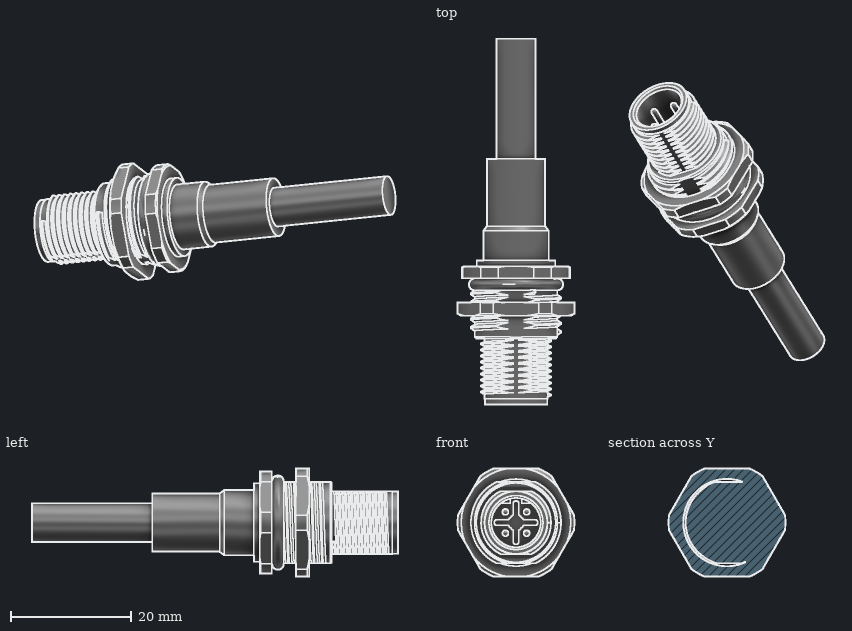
import cadquery as cq
import math


lead_in_end = 1.0
front_thread_start = 1.6
front_barrel_end = 11.0
panel_thread_start = 12.1
panel_thread_end = 18.9
nut_front = 14.75
nut_thickness = 2.25
hex_front = 21.0
hex_thickness = 2.0
collar_end = 24.0
boot_step = 28.9
boot_taper_end = 29.7
boot_end = 40.9
cable_end = 60.9

cable_radius = 3.25
boot_radius = 4.85
boot_step_radius = 5.45
collar_radius = 6.55

front_root_radius = 5.25
front_crest_radius = 5.83
front_pitch = 1.0
front_flat_height = 5.23
lead_in_radius = 5.2

panel_root_radius = 6.9
panel_crest_radius = 7.5
panel_pitch = 1.41
panel_flat_height = 6.77
panel_chamfer = 0.3

ridge_base_share = 0.95
ridge_crest_share = 0.15
ridge_sink = 0.2

nut_across_flats = 18.0
nut_corner_radius = 9.75
nut_bore_radius = 7.25
nut_chamfer_radius = 9.1
hex_across_flats = 17.0
hex_corner_radius = 9.0
hex_chamfer_radius = 8.7
chamfer_slope = math.tan(math.radians(30))

ring_section_radius = 1.0
ring_outer_radius = 7.85

socket_radius = 4.1
socket_mouth_radius = 4.5
socket_mouth_depth = 0.4
socket_depth = 9.0

pin_radius = 0.5
pin_circle_radius = 2.5
pin_count = 4
pin_tip_position = 2.0
pin_tip_rounding = 0.45
pin_root_length = 1.0

recess_bottom = 3.2
recess_depth = 1.0
key_width = 1.9
cross_width = 0.95
cross_reach = 3.6
cross_corner = 1.3
cross_depth = 0.5
cross_end_rounding = 0.42


def cylinder(radius, start, end):
    """Solid cylinder on the Y axis between two stations."""
    return cq.Workplane("XZ", origin=(0, start, 0)).circle(radius).extrude(start - end)


def revolved(points):
    """Solid of revolution about Y from (radius, station) points."""
    return cq.Workplane("XY").polyline(points).close().revolve(360, (0, 0, 0), (0, 1, 0))


def thread_ridge(root_radius, crest_radius, pitch, start, end):
    """Right-handed helical ridge on the Y axis, starting on the +X side."""
    foot = root_radius - ridge_sink
    half_base = ridge_base_share * pitch / 2
    half_crest = ridge_crest_share * pitch / 2
    path = cq.Wire.makeHelix(pitch, end - start, root_radius)
    profile = (
        cq.Workplane("XZ")
        .polyline([
            (foot, -half_base),
            (crest_radius, -half_crest),
            (crest_radius, half_crest),
            (foot, half_base),
        ])
        .close()
    )
    ridge = profile.sweep(cq.Workplane(obj=path), isFrenet=True)
    return ridge.rotate((0, 0, 0), (1, 0, 0), -90).translate((0, start, 0))


def flatten(body, half_height, start, end):
    """Cut two parallel flats, above and below the axis."""
    length = end - start
    slab = cq.Workplane("XY").box(4 * half_height, length, 2 * half_height)
    return body.intersect(slab.translate((0, start + length / 2, 0)))


def hexagon(across_flats, corner_radius, front, thickness):
    """Hexagon with flats on top and bottom and its corners turned round."""
    across_corners = across_flats / math.cos(math.pi / 6)
    prism = (
        cq.Workplane("XZ", origin=(0, front, 0))
        .polygon(6, across_corners)
        .extrude(-thickness)
    )
    return prism.intersect(cylinder(corner_radius, front, front + thickness))


def chamfered_disc(face_radius, corner_radius, face, far):
    """Disc whose edge falls away from face_radius at the chamfered face."""
    drop = (corner_radius - face_radius) * chamfer_slope
    shoulder = face + math.copysign(drop, far - face)
    return revolved([
        (0, face),
        (face_radius, face),
        (corner_radius, shoulder),
        (corner_radius, far),
        (0, far),
    ])


def make_front_barrel():
    core = cylinder(front_root_radius, lead_in_end, panel_thread_start)
    ridge = thread_ridge(
        front_root_radius, front_crest_radius, front_pitch, front_thread_start, front_barrel_end
    )
    barrel = flatten(core.union(ridge), front_flat_height, lead_in_end, panel_thread_start)
    return barrel.union(cylinder(lead_in_radius, 0, lead_in_end))


def make_panel_barrel():
    core = cylinder(panel_root_radius, front_barrel_end, hex_front)
    core = core.faces("<Y").chamfer(panel_chamfer)
    ridge = thread_ridge(
        panel_root_radius, panel_crest_radius, panel_pitch, panel_thread_start, panel_thread_end
    )
    return flatten(core.union(ridge), panel_flat_height, front_barrel_end, hex_front)


def make_nut():
    nut_back = nut_front + nut_thickness
    nut = hexagon(nut_across_flats, nut_corner_radius, nut_front, nut_thickness)
    nut = nut.intersect(chamfered_disc(nut_chamfer_radius, nut_corner_radius, nut_front, nut_back))
    return nut.cut(cylinder(nut_bore_radius, nut_front, nut_back))


def make_hex_flange():
    hex_back = hex_front + hex_thickness
    flange = hexagon(hex_across_flats, hex_corner_radius, hex_front, hex_thickness)
    return flange.intersect(chamfered_disc(hex_chamfer_radius, hex_corner_radius, hex_back, hex_front))


def make_o_ring():
    centre_radius = ring_outer_radius - ring_section_radius
    return (
        cq.Workplane("XY")
        .center(centre_radius, hex_front - ring_section_radius)
        .circle(ring_section_radius)
        .revolve(360, (-centre_radius, 0, 0), (-centre_radius, 1, 0))
    )


def make_boot_and_cable():
    hex_back = hex_front + hex_thickness
    return revolved([
        (0, hex_back),
        (collar_radius, hex_back),
        (collar_radius, collar_end),
        (boot_step_radius, collar_end),
        (boot_step_radius, boot_step),
        (boot_radius, boot_taper_end),
        (boot_radius, boot_end),
        (cable_radius, boot_end),
        (cable_radius, cable_end),
        (0, cable_end),
    ])


def make_socket():
    return revolved([
        (0, 0),
        (socket_mouth_radius, 0),
        (socket_radius, socket_mouth_depth),
        (socket_radius, socket_depth),
        (0, socket_depth),
    ])


def make_coding_recess():
    """Segment at the top of the socket floor, left standing as a tab in the middle."""
    recess_end = socket_depth + recess_depth
    recess_height = socket_radius - recess_bottom
    segment = (
        cq.Workplane("XZ", origin=(0, socket_depth, 0))
        .center(0, recess_bottom + recess_height / 2)
        .rect(2 * socket_radius, recess_height)
        .extrude(-recess_depth)
        .intersect(cylinder(socket_radius, socket_depth, recess_end))
    )
    tab = cq.Workplane("XY").box(key_width, 2 * recess_end, 2 * socket_radius)
    return segment.cut(tab)


def make_cross_groove():
    floor = cq.Workplane("XZ", origin=(0, socket_depth, 0))
    bar = floor.rect(2 * cross_reach, cross_width).extrude(-cross_depth)
    bar = bar.edges("|Y").fillet(cross_end_rounding)
    upright = bar.rotate((0, 0, 0), (0, 1, 0), 90)
    half_width = cross_width / 2
    centre = (
        floor.polyline([
            (cross_corner, half_width),
            (half_width, cross_corner),
            (-half_width, cross_corner),
            (-cross_corner, half_width),
            (-cross_corner, -half_width),
            (-half_width, -cross_corner),
            (half_width, -cross_corner),
            (cross_corner, -half_width),
        ])
        .close()
        .extrude(-cross_depth)
    )
    return bar.union(upright).union(centre)


def make_pins():
    pin = cylinder(pin_radius, pin_tip_position, socket_depth + pin_root_length)
    pin = pin.faces("<Y").edges().fillet(pin_tip_rounding)
    pins = cq.Workplane("XY")
    for index in range(pin_count):
        angle = 2 * math.pi * (index + 0.5) / pin_count
        x = pin_circle_radius * math.cos(angle)
        z = pin_circle_radius * math.sin(angle)
        pins = pins.add(pin.translate((x, 0, z)))
    return pins


result = make_front_barrel().union(make_panel_barrel())
result = result.cut(make_socket()).cut(make_coding_recess()).cut(make_cross_groove())
result = result.union(make_pins())
result = result.union(make_hex_flange()).union(make_boot_and_cable())
result = result.union(make_o_ring()).union(make_nut())